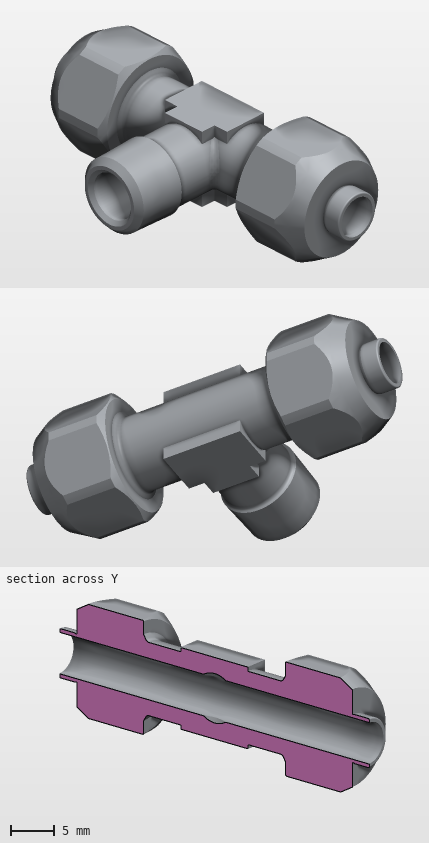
import cadquery as cq
import math

half_length = 23.0
pipe_radius = 4.5
run_bore_radius = 5.0 / 2
branch_bore_radius = 3.0
drill_point_angle = 120.0
crotch_fillet = 0.85

block_half_width = 5.0
block_half_neck = 3.0

nut_inner_face = 10.5
nut_outer_face = 20.45
nut_sides = 6
nut_across_flats = 14.0
nut_corner_radius = 15.5 / 2
nut_outer_face_radius = 6.0
nut_outer_cone_angle = 30.0
nut_inner_face_radius = 6.85
nut_inner_chamfer = 0.65

shoulder_fillet = 0.5
shoulder_angle = 60.0
run_shoulder_start = 9.75
nut_overlap = 0.45
branch_shoulder_start = 9.7

sleeve_radius = 3.05
sleeve_end_fillet = 0.2
sleeve_relief_length = 0.35
sleeve_relief_depth = 0.1

overall_depth = 24.75
branch_length = overall_depth - nut_corner_radius
thread_slope = 1 / 32
thread_tip_radius = 9.5 / 2
thread_chamfer = 0.8
bore_chamfer = 0.5

root_sweep = math.radians(shoulder_angle)
cone_slope = math.tan(root_sweep)
root_length = shoulder_fillet * math.sin(root_sweep)
root_rise = shoulder_fillet * (1 - math.cos(root_sweep))
root_mid_length = shoulder_fillet * math.sin(root_sweep / 2)
root_mid_rise = shoulder_fillet * (1 - math.cos(root_sweep / 2))


def shoulder_outline(start):
    """Open outline in the XY plane, X along the axis, from the pipe up to the end of the rounded root."""
    return (
        cq.Workplane("XY")
        .moveTo(0, 0)
        .lineTo(0, pipe_radius)
        .lineTo(start, pipe_radius)
        .threePointArc(
            (start + root_mid_length, pipe_radius + root_mid_rise),
            (start + root_length, pipe_radius + root_rise),
        )
    )


def revolve_about_x(outline):
    return outline.close().revolve(360, (0, 0, 0), (1, 0, 0))


def point_along_branch(shape):
    """Turn a shape made along +X so that it points along -Y."""
    return shape.rotate((0, 0, 0), (0, 0, 1), -90)


def make_run_arm():
    """Half of the run, from the centre of the tee to just inside the nut."""
    cone_length = nut_inner_face + nut_overlap - run_shoulder_start - root_length
    outline = shoulder_outline(run_shoulder_start).line(cone_length, cone_slope * cone_length).vLineTo(0)
    return revolve_about_x(outline)


def make_branch():
    thread_end = branch_length - thread_chamfer
    cone_start = branch_shoulder_start + root_length
    cone_start_radius = pipe_radius + root_rise
    radius_gap = thread_tip_radius + thread_slope * (thread_end - cone_start) - cone_start_radius
    cone_length = radius_gap / (cone_slope + thread_slope)
    outline = (
        shoulder_outline(branch_shoulder_start)
        .line(cone_length, cone_slope * cone_length)
        .lineTo(thread_end, thread_tip_radius)
        .line(thread_chamfer, -thread_chamfer)
        .vLineTo(0)
    )
    return point_along_branch(revolve_about_x(outline))


def make_nut():
    """Hexagon with flats facing +Z and -Z, trimmed to a turned outline with a cone at each end."""
    cone_length = (nut_corner_radius - nut_outer_face_radius) / math.tan(math.radians(nut_outer_cone_angle))
    across_corners = nut_across_flats / math.cos(math.pi / nut_sides)
    hexagon = (
        cq.Workplane("YZ", origin=(nut_inner_face, 0, 0))
        .polygon(nut_sides, across_corners)
        .extrude(nut_outer_face - nut_inner_face)
    )
    turned = revolve_about_x(
        cq.Workplane("XY")
        .moveTo(nut_inner_face, 0)
        .vLineTo(nut_inner_face_radius)
        .lineTo(nut_inner_face + nut_inner_chamfer, nut_corner_radius)
        .hLineTo(nut_outer_face - cone_length)
        .lineTo(nut_outer_face, nut_outer_face_radius)
        .vLineTo(0)
    )
    return hexagon.intersect(turned)


def make_sleeve():
    relief_start = nut_outer_face + sleeve_relief_length
    outline = (
        cq.Workplane("XY")
        .moveTo(nut_outer_face, 0)
        .vLineTo(sleeve_radius - sleeve_relief_depth)
        .lineTo(relief_start, sleeve_radius)
        .hLineTo(half_length)
        .vLineTo(0)
    )
    return revolve_about_x(outline).faces(">X").edges().fillet(sleeve_end_fillet)


def make_wrench_block():
    wide = cq.Workplane("XY").box(2 * block_half_width, 2 * block_half_neck, 2 * block_half_width)
    neck = (
        cq.Workplane("XY")
        .box(2 * block_half_neck, block_half_width, 2 * block_half_width)
        .translate((0, -block_half_width / 2, 0))
    )
    return wide.union(neck)


def make_tee():
    arm = make_run_arm()
    tee = arm.union(arm.mirror("YZ")).union(make_branch()).union(make_wrench_block())
    margin = 0.05
    reach = pipe_radius + margin
    crotch = cq.selectors.BoxSelector(
        (-reach, -reach, -reach), (reach, -block_half_neck + margin, reach), boundingbox=True
    )
    return tee.edges(crotch).edges("not %LINE").fillet(crotch_fillet)


def cut_bores(body):
    run_bore = cq.Workplane("YZ", origin=(-half_length, 0, 0)).circle(run_bore_radius).extrude(2 * half_length)
    drill_point_length = branch_bore_radius / math.tan(math.radians(drill_point_angle / 2))
    branch_bore = revolve_about_x(
        cq.Workplane("XY")
        .moveTo(-drill_point_length, 0)
        .lineTo(0, branch_bore_radius)
        .hLineTo(branch_length - bore_chamfer)
        .line(bore_chamfer, bore_chamfer)
        .vLineTo(0)
    )
    return body.cut(run_bore).cut(point_along_branch(branch_bore))


nut_and_sleeve = make_nut().union(make_sleeve())
solid_fitting = make_tee().union(nut_and_sleeve).union(nut_and_sleeve.mirror("YZ"))
result = cut_bores(solid_fitting).solids()